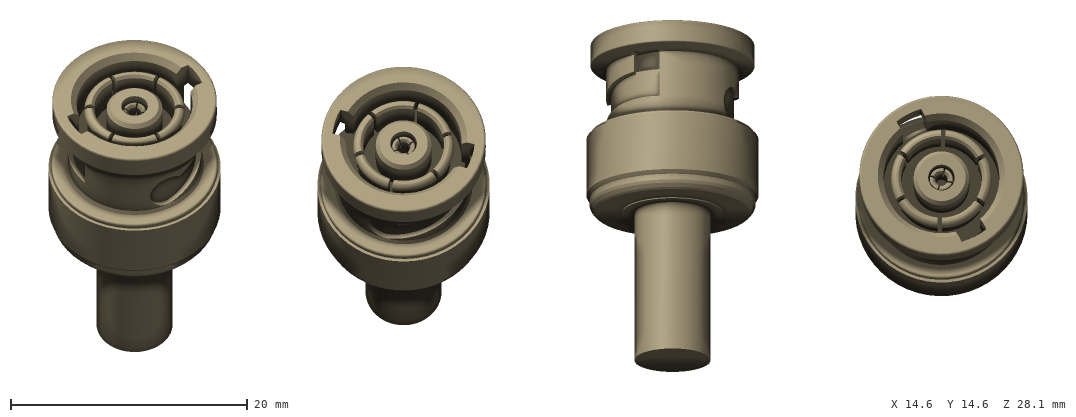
import cadquery as cq


total_height = 28.05
tube_top = 13.02
cuff_bottom = 13.1
cuff_top = 20.0
neck_bottom = 20.25
neck_top = 25.67
socket_floor = 24.24

tube_radius = 3.23
end_boss_radius = 4.32
cuff_radius = 7.3
cuff_step_radius = 7.05
cuff_end_radius = 6.55
cuff_band_bottom = 14.65
cuff_band_top = 19.58
cuff_lower_step = 14.3
cuff_taper_top = 13.8
cuff_taper_upper = (6.95, 13.55)
cuff_taper_lower = (6.73, 13.25)
cuff_top_round = 0.2

neck_radius = 5.65
neck_flare_radius = 5.85
collar_radius = 6.95
collar_bottom = 26.11
collar_top_round = 0.2
collar_bottom_round = 0.15

bore_radius = 4.9
mouth_radius = 5.39
mouth_depth = 0.53

slot_width = 2.35
slot_angle = 15.0
slot_floor_radius = 5.22
latch_radius = 1.6
latch_height = 21.9
key_radius = 6.03
key_bottom = 22.45

finger_top = 27.2
finger_inner_radius = 3.42
finger_chamfer = 0.22
finger_tip_radius = 3.85
finger_bulge_radius = 4.25
finger_bulge_height = 26.65
finger_stem_radius = 3.98
finger_bulge_bottom = 26.2
finger_count = 6
finger_slit = 0.36

insulator_radius = 2.35
insulator_top = 27.25
insulator_chamfer = 0.3
insulator_hole_radius = 1.12
contact_radius = 0.98
contact_bore_radius = 0.53
contact_top = 26.65
contact_round = 0.1
contact_chamfer = 0.2
contact_slit = 0.15
contact_slit_depth = 1.12

OVERLAP = 0.28
SEARCH_MARGIN = 0.03


def cylinder(radius, bottom, top):
    return cq.Workplane("XY").workplane(offset=bottom).circle(radius).extrude(top - bottom)


def revolve(profile):
    """Turn a closed (radius, height) profile about the Z axis."""
    return profile.close().revolve(360, (0, 0, 0), (0, 1, 0))


def slits(count, width, reach, bottom, top):
    """Radial through-slits: each blade crosses the axis and makes two gaps."""
    blade = cq.Workplane("XY").box(2 * reach, width, top - bottom, centered=(True, True, False))
    blade = blade.translate((0, 0, bottom))
    cutter = blade
    for i in range(1, count):
        cutter = cutter.union(blade.rotate((0, 0, 0), (0, 0, 1), 180 * i / count))
    return cutter


def shell_body():
    """Tube, cuff, neck and collar as one turned solid."""
    profile = (
        cq.Workplane("XZ")
        .lineTo(tube_radius, 0)
        .lineTo(tube_radius, tube_top)
        .lineTo(end_boss_radius, tube_top)
        .lineTo(end_boss_radius, cuff_bottom)
        .lineTo(cuff_end_radius, cuff_bottom)
        .lineTo(*cuff_taper_lower)
        .lineTo(*cuff_taper_upper)
        .lineTo(cuff_step_radius, cuff_taper_top)
        .lineTo(cuff_step_radius, cuff_lower_step)
        .lineTo(cuff_radius, cuff_band_bottom)
        .lineTo(cuff_radius, cuff_band_top)
        .lineTo(cuff_step_radius, cuff_band_top)
        .lineTo(cuff_step_radius, cuff_top)
        .lineTo(neck_flare_radius, cuff_top)
        .lineTo(neck_radius, neck_bottom)
        .lineTo(neck_radius, neck_top)
        .lineTo(collar_radius, collar_bottom)
        .lineTo(collar_radius, total_height)
        .lineTo(0, total_height)
    )
    body = revolve(profile)
    body = rounded_rim(body, cuff_step_radius, cuff_top, cuff_top_round)
    body = rounded_rim(body, collar_radius, collar_bottom, collar_bottom_round)
    return rounded_rim(body, collar_radius, total_height, collar_top_round)


def rounded_rim(body, radius, height, size):
    """Fillet the circular edge found at the given radius and height."""
    reach = radius + SEARCH_MARGIN
    low, high = height - SEARCH_MARGIN, height + SEARCH_MARGIN
    rim = cq.selectors.BoxSelector((-reach, -reach, low), (reach, reach, high), boundingbox=True)
    return body.edges(rim).edges(cq.selectors.RadiusNthSelector(-1)).fillet(size)


def socket():
    """Bore of the socket with its tapered mouth."""
    return revolve(
        cq.Workplane("XZ")
        .moveTo(0, socket_floor)
        .lineTo(bore_radius, socket_floor)
        .lineTo(bore_radius, total_height - mouth_depth)
        .lineTo(mouth_radius, total_height)
        .lineTo(0, total_height)
    )


def bayonet_slot():
    """Slot on the -Y side: entry key, sloped run and round latch at -X."""
    reach = cuff_radius
    cut_length = reach + slot_width / 2
    run_offset = slot_width / 2 - latch_radius
    run = (
        cq.Workplane("YZ")
        .center(-reach / 2, run_offset)
        .rect(reach, slot_width)
        .extrude(cut_length)
        .rotate((0, 0, 0), (1, 0, 0), -slot_angle)
        .translate((-reach, 0, latch_height))
    )
    latch = (
        cq.Workplane("YZ", origin=(-reach, 0, latch_height))
        .circle(latch_radius)
        .extrude(reach)
    )
    key = (
        cq.Workplane("XY", origin=(0, -key_radius / 2, key_bottom))
        .rect(slot_width, key_radius)
        .extrude(total_height - key_bottom)
        .intersect(cylinder(key_radius, key_bottom, total_height))
    )
    core = cylinder(slot_floor_radius, 0, socket_floor)
    return run.union(latch).union(key).cut(core)


def spring_fingers():
    """Ring with a bulged lip, slit into separate fingers."""
    root = socket_floor - OVERLAP
    ring = revolve(
        cq.Workplane("XZ")
        .moveTo(finger_inner_radius, root)
        .lineTo(finger_stem_radius, root)
        .lineTo(finger_stem_radius, finger_bulge_bottom)
        .threePointArc((finger_bulge_radius, finger_bulge_height), (finger_tip_radius, finger_top))
        .lineTo(finger_inner_radius + finger_chamfer, finger_top)
        .lineTo(finger_inner_radius, finger_top - finger_chamfer)
    )
    return ring.cut(slits(finger_count // 2, finger_slit, bore_radius, socket_floor, finger_top))


def insulator():
    post = cylinder(insulator_radius, socket_floor - OVERLAP, insulator_top)
    post = post.faces(">Z").chamfer(insulator_chamfer)
    return post.cut(cylinder(insulator_hole_radius, socket_floor, insulator_top))


def centre_contact():
    """Socket contact with four tines; its slits lie on the diagonals."""
    pin = cylinder(contact_radius, socket_floor - OVERLAP, contact_top)
    pin = pin.faces(">Z").edges().fillet(contact_round)
    pin = pin.cut(cylinder(contact_bore_radius, socket_floor, contact_top))
    bore_rim = pin.faces(">Z").edges(cq.selectors.RadiusNthSelector(0))
    pin = bore_rim.chamfer(contact_chamfer)
    cross = slits(2, contact_slit, contact_radius, contact_top - contact_slit_depth, contact_top)
    return pin.cut(cross.rotate((0, 0, 0), (0, 0, 1), 45))


result = shell_body().cut(socket())
for turn in (0, 180):
    result = result.cut(bayonet_slot().rotate((0, 0, 0), (0, 0, 1), turn))
result = result.union(spring_fingers()).union(insulator()).union(centre_contact())